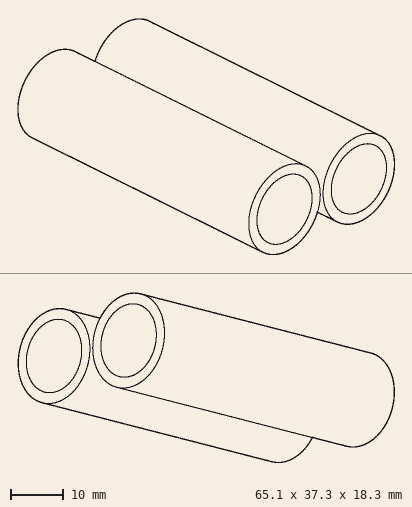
import cadquery as cq

length = 65.1
sleeve_diameter = 18.3
core_diameter = 14.1
gap = 0.7

pitch = sleeve_diameter + gap
axis_positions = [-pitch / 2, pitch / 2]


def make_sleeve(y):
    """Tube along X, open from end to end, with its axis at the given Y."""
    return (
        cq.Workplane("YZ")
        .center(y, 0)
        .circle(sleeve_diameter / 2)
        .circle(core_diameter / 2)
        .extrude(length)
    )


def make_core(y):
    """Solid round bar that fills the sleeve bore, flush with both ends."""
    return (
        cq.Workplane("YZ")
        .center(y, 0)
        .circle(core_diameter / 2)
        .extrude(length)
    )


sleeves = [make_sleeve(y).val() for y in axis_positions]
cores = [make_core(y).val() for y in axis_positions]

result = cq.Compound.makeCompound([*sleeves, *cores])